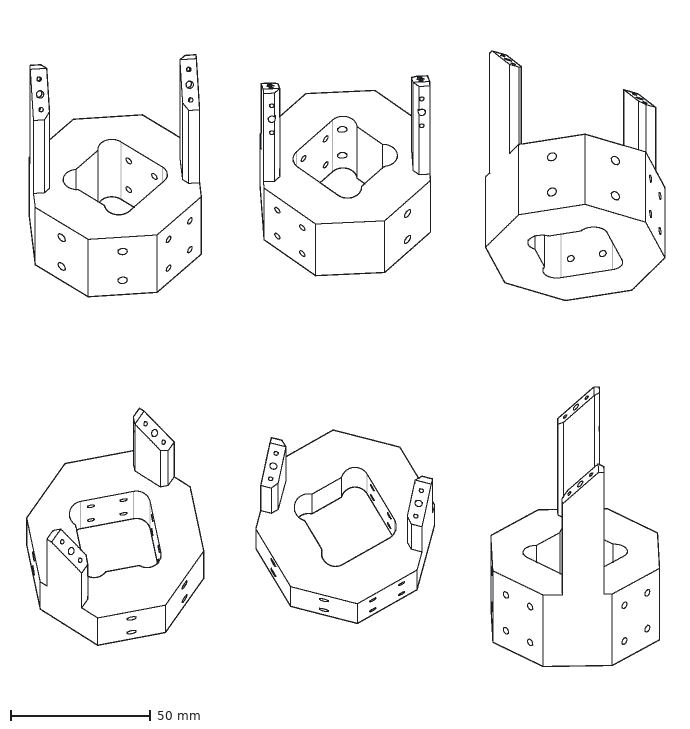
import cadquery as cq
import math

SIDES = 8
ACROSS_FLATS = 60.0
APOTHEM = ACROSS_FLATS / 2
BASE_HEIGHT = 30.0
TOTAL_HEIGHT = 81.0

WINDOW_REACH = 14.75
STOP_REACH = 13.3
RELIEF_RADIUS = 5.0
RELIEF_CENTER = WINDOW_REACH - RELIEF_RADIUS

SCREW_DIAMETER = 3.3
SCREW_HEIGHTS = (BASE_HEIGHT / 4, BASE_HEIGHT * 3 / 4)
BLIND_DEPTH = 10.0
DRILL_POINT_ANGLE = 118
CLAMP_DIAMETER = 2.5
CLAMP_OFFSET = 6.0
RELIEF_SCREW_ANGLE = -45

POST_ANGLE = 225
POST_WIDTH = 15.1
POST_THICKNESS = 6.0
POST_TALL_EDGE = -9.55
POST_LOW_EDGE = POST_TALL_EDGE + POST_WIDTH
POST_CHAMFER = 2.0
POST_SLOPE_START = POST_TALL_EDGE + POST_CHAMFER
SLOPE_DROP = POST_LOW_EDGE - POST_SLOPE_START

PIN_DIAMETER = 1.5
BOLT_DIAMETER = 2.6
PIN_SPACING = 3.9
SLOPE_MIDDLE = (POST_SLOPE_START + POST_LOW_EDGE) / 2
POST_HOLE_LENGTH = 2 * POST_WIDTH


def cylinder(diameter, length, start, direction):
    return cq.Workplane(obj=cq.Solid.makeCylinder(
        diameter / 2, length, cq.Vector(*start), cq.Vector(*direction)))


def octagon_base():
    corner_diameter = ACROSS_FLATS / math.cos(math.pi / SIDES)
    octagon = cq.Workplane("XY").polygon(SIDES, corner_diameter).extrude(BASE_HEIGHT)
    return octagon.rotate((0, 0, 0), (0, 0, 1), 180 / SIDES)


def window():
    """Square opening whose four corners are round reliefs, with -X and -Y walls standing proud."""
    span = STOP_REACH + WINDOW_REACH
    middle = (WINDOW_REACH - STOP_REACH) / 2
    relief_pitch = 2 * RELIEF_CENTER
    across_x = cq.Workplane("XY").center(middle, 0).rect(span, relief_pitch).extrude(BASE_HEIGHT)
    across_y = cq.Workplane("XY").center(0, middle).rect(relief_pitch, span).extrude(BASE_HEIGHT)
    reliefs = (
        cq.Workplane("XY")
        .rect(relief_pitch, relief_pitch, forConstruction=True)
        .vertices()
        .circle(RELIEF_RADIUS)
        .extrude(BASE_HEIGHT)
    )
    return across_x.union(across_y).union(reliefs)


def blind_hole(angle, height):
    """Drilled hole with a conical end, entering the octagon face at the given angle."""
    radius = SCREW_DIAMETER / 2
    point_length = radius / math.tan(math.radians(DRILL_POINT_ANGLE / 2))
    floor = APOTHEM - BLIND_DEPTH
    profile = (
        cq.Workplane("XY")
        .moveTo(APOTHEM, 0)
        .lineTo(APOTHEM, radius)
        .lineTo(floor, radius)
        .lineTo(floor - point_length, 0)
        .close()
    )
    hole = profile.revolve(360, (0, 0, 0), (1, 0, 0))
    return hole.rotate((0, 0, 0), (0, 0, 1), angle).translate((0, 0, height))


def through_hole(diameter, angle, offset, height):
    """Hole from the octagon face at the given angle into the window."""
    hole = cylinder(diameter, APOTHEM, (0, offset, height), (1, 0, 0))
    return hole.rotate((0, 0, 0), (0, 0, 1), angle)


def post():
    """Post modelled with X radial and Y tangential, tall on the -Y side."""
    inner = APOTHEM - POST_THICKNESS
    body = (
        cq.Workplane("YZ", origin=(inner, 0, 0))
        .moveTo(POST_TALL_EDGE, BASE_HEIGHT)
        .lineTo(POST_TALL_EDGE, TOTAL_HEIGHT)
        .lineTo(POST_SLOPE_START, TOTAL_HEIGHT)
        .lineTo(POST_LOW_EDGE, TOTAL_HEIGHT - SLOPE_DROP)
        .lineTo(POST_LOW_EDGE, BASE_HEIGHT)
        .close()
        .extrude(POST_THICKNESS)
    )
    body = body.edges("|Z and <X").chamfer(POST_CHAMFER)
    hole_sizes = ((-PIN_SPACING, PIN_DIAMETER), (0, BOLT_DIAMETER), (PIN_SPACING, PIN_DIAMETER))
    for offset, diameter in hole_sizes:
        entry_height = TOTAL_HEIGHT - SLOPE_DROP / 2 - offset
        entry = (inner + POST_THICKNESS / 2, SLOPE_MIDDLE + offset, entry_height)
        body = body.cut(cylinder(diameter, POST_HOLE_LENGTH, entry, (0, -1, -1)))
    return body


part = octagon_base().cut(window())

for screw_height in SCREW_HEIGHTS:
    for stop_face_angle in (180, 270):
        part = part.cut(blind_hole(stop_face_angle, screw_height))
    for clamp_face_angle in (0, 90):
        for offset in (-CLAMP_OFFSET, CLAMP_OFFSET):
            part = part.cut(through_hole(CLAMP_DIAMETER, clamp_face_angle, offset, screw_height))
    part = part.cut(through_hole(SCREW_DIAMETER, RELIEF_SCREW_ANGLE, 0, screw_height))

for upright in (post(), post().mirror("YZ")):
    part = part.union(upright.rotate((0, 0, 0), (0, 0, 1), POST_ANGLE))

result = part